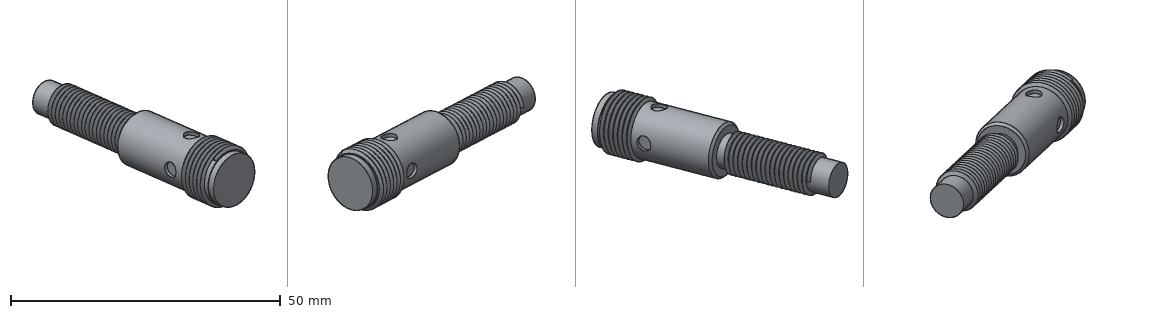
import cadquery as cq

total_length = 50.45
body_start = 24.4
cap_start = 49.1

stem_radius = 3.4
body_radius = 5.45
cap_radius = 5.3
body_chamfer = 0.5

thread_pitch = 1.0
root_flat = 0.15
root_overlap = 0.05
stem_crest_radius = 4.15
stem_thread_start = 4.35
stem_thread_turns = 18.6
body_crest_radius = 12.25 / 2
body_thread_start = 41.95
body_thread_turns = 6.6

window_position = 39.0
window_diameter = 3.05
window_depth = 0.9
window_floor_radius = 6.05
window_count = 4


def cylinder(start, end, radius):
    """Solid cylinder on the X axis."""
    return cq.Workplane("YZ", origin=(start, 0, 0)).circle(radius).extrude(end - start)


def thread_ridge(start, turns, root_radius, crest_radius, start_angle):
    """Helical triangular ridge around X; start_angle turns the start from +Y about X."""
    buried_radius = root_radius - root_overlap
    flank_slope = (thread_pitch - root_flat) / 2 / (crest_radius - root_radius)
    half_base = flank_slope * (crest_radius - buried_radius)
    helix = cq.Wire.makeHelix(thread_pitch, turns * thread_pitch, root_radius)
    ridge = (
        cq.Workplane("XZ")
        .polyline([(buried_radius, -half_base), (crest_radius, 0), (buried_radius, half_base)])
        .close()
        .sweep(cq.Workplane(obj=helix), isFrenet=True)
    )
    return (
        ridge.rotate((0, 0, 0), (1, 1, 1), 120)
        .rotate((0, 0, 0), (1, 0, 0), start_angle)
        .translate((start, 0, 0))
    )


def window_cutter(angle):
    """Round cutter that leaves a window floor hollowed along X."""
    floor_bottom = body_radius - window_depth
    hole = (
        cq.Workplane("XY", origin=(window_position, 0, floor_bottom))
        .circle(window_diameter / 2)
        .extrude(2 * window_depth)
    )
    hollow = (
        cq.Workplane("XZ", origin=(window_position, 0, floor_bottom + window_floor_radius))
        .circle(window_floor_radius)
        .extrude(window_diameter, both=True)
    )
    return hole.intersect(hollow).rotate((0, 0, 0), (1, 0, 0), angle)


stem = cylinder(0, body_start, stem_radius)
body = cylinder(body_start, cap_start, body_radius).faces("<X").chamfer(body_chamfer)
cap = cylinder(cap_start, total_length, cap_radius)

for index in range(window_count):
    body = body.cut(window_cutter(index * 360 / window_count))

stem_thread = thread_ridge(stem_thread_start, stem_thread_turns, stem_radius, stem_crest_radius, 0)
body_thread = thread_ridge(body_thread_start, body_thread_turns, body_radius, body_crest_radius, -90)

result = stem.union(stem_thread).union(body.union(body_thread)).union(cap)